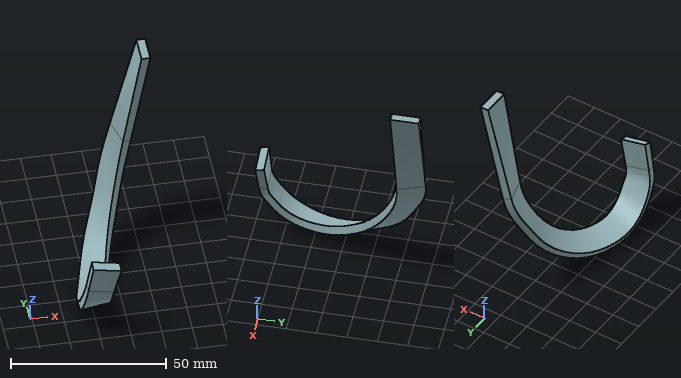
import cadquery as cq

thickness = 2.95
tip_end_drop = 0.8

sections = [
    ((27.6, 57.7, 73.9), (27.6, 48.25, 73.9)),
    ((18.9, 57.3, 39.7), (21.6, 48.25, 39.2)),
    ((14.05, 52.7, 24.9), (18.85, 45.5, 27.2)),
    ((12.1, 49.3, 18.55), (17.0, 42.2, 20.7)),
    ((7.1, 39.15, 8.4), (14.0, 34.4, 11.8)),
    ((2.0, 22.2, 2.7), (10.5, 20.5, 5.9)),
    ((0.8, 17.35, 3.3), (9.75, 16.6, 6.0)),
    ((0.1, 8.1, 9.15), (9.45, 9.0, 9.75)),
    ((0.5, 4.4, 14.8), (9.6, 5.2, 14.5)),
    ((1.55, 3.4, 20.2), (10.2, 3.9, 18.3)),
    ((3.25, 2.95, 29.9), (12.5, 3.2, 28.1)),
]
left_inner = [cq.Vector(*left) for left, right in sections]
right_inner = [cq.Vector(*right) for left, right in sections]
last = len(sections) - 1


def outward_offset(index):
    """Step from the inner face to the outer face at one cross-section."""
    if index == 0:
        return cq.Vector(thickness, 0, 0)
    if index == last:
        return cq.Vector(0, -thickness, -tip_end_drop)
    before = index - 1
    after = index + 1
    across = right_inner[index] - left_inner[index]
    along = left_inner[after] + right_inner[after] - left_inner[before] - right_inner[before]
    return across.cross(along).normalized() * thickness


offsets = [outward_offset(index) for index in range(last + 1)]
left_outer = [point + step for point, step in zip(left_inner, offsets)]
right_outer = [point + step for point, step in zip(right_inner, offsets)]
corners = [left_inner, right_inner, right_outer, left_outer]


def edge_pieces(points):
    """Line, tangent curve and line along one long edge of the bar."""
    shank_direction = (points[1] - points[0]).normalized()
    tip_direction = (points[last] - points[last - 1]).normalized()
    return [
        cq.Edge.makeLine(points[0], points[1]),
        cq.Edge.makeSpline(points[1:last], tangents=[shank_direction, tip_direction]),
        cq.Edge.makeLine(points[last - 1], points[last]),
    ]


def end_face(index):
    """Flat four-cornered end of the bar."""
    outline = cq.Wire.makePolygon([points[index] for points in corners], close=True)
    return cq.Face.makeFromWires(outline)


edges = [edge_pieces(points) for points in corners]
faces = [end_face(0), end_face(last)]
for side, first_edge in enumerate(edges):
    second_edge = edges[(side + 1) % len(edges)]
    for first_piece, second_piece in zip(first_edge, second_edge):
        faces.append(cq.Face.makeRuledSurface(first_piece, second_piece))

result = cq.Workplane(cq.Solid.makeSolid(cq.Shell.makeShell(faces)).fix())